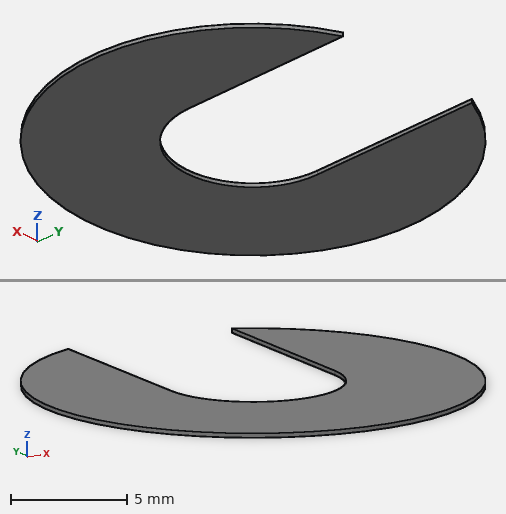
import cadquery as cq
import math

outer_radius = 10.0
slot_radius = 4.0
thickness = 0.2

left_mouth_x = -4.05
right_mouth_x = 3.98


def rim_point(x):
    """Point on the upper half of the outer circle at the given x."""
    return (x, math.sqrt(outer_radius**2 - x**2))


result = (
    cq.Workplane("XY")
    .moveTo(*rim_point(left_mouth_x))
    .lineTo(-slot_radius, 0)
    .threePointArc((0, -slot_radius), (slot_radius, 0))
    .lineTo(*rim_point(right_mouth_x))
    .threePointArc((0, -outer_radius), rim_point(left_mouth_x))
    .close()
    .extrude(thickness)
)